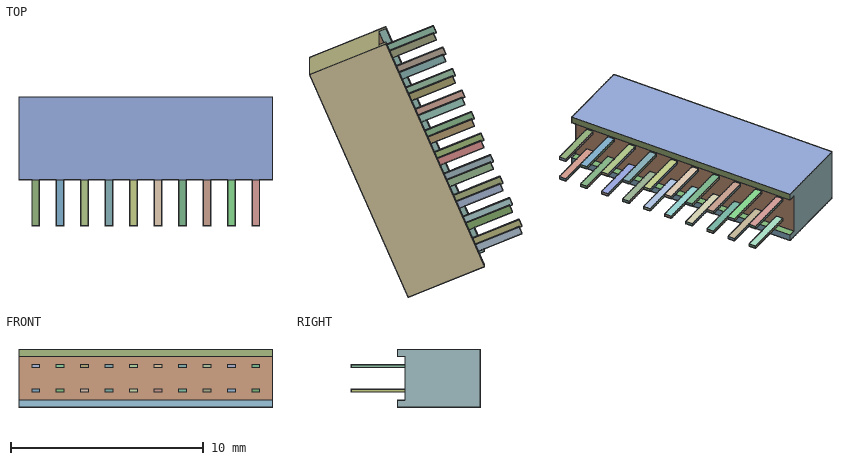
import cadquery as cq

length = 13.16
height = 3.0
housing_depth = 4.3
recess_depth = 0.4
lip_thickness = 0.37

pins_per_row = 10
row_count = 2
row_span = 11.44
pitch = row_span / (pins_per_row - 1)
pin_width = 0.4
pin_thickness = 0.16
total_depth = 6.7
pin_overhang = total_depth - housing_depth


def make_housing():
    """Block with its front face at Y = 0 and a full-length channel between two lips."""
    block = cq.Workplane("XY").box(length, housing_depth, height, centered=(True, False, True))
    channel_height = height - 2 * lip_thickness
    channel = cq.Workplane("XY").box(length, recess_depth, channel_height, centered=(True, False, True))
    return block.cut(channel)


def make_pins():
    """Two rows of flat pins standing on the channel floor and pointing toward -Y."""
    return (
        cq.Workplane("XZ", origin=(0, recess_depth, 0))
        .rarray(pitch, pitch, pins_per_row, row_count)
        .rect(pin_width, pin_thickness)
        .extrude(recess_depth + pin_overhang)
    )


result = make_housing().union(make_pins())